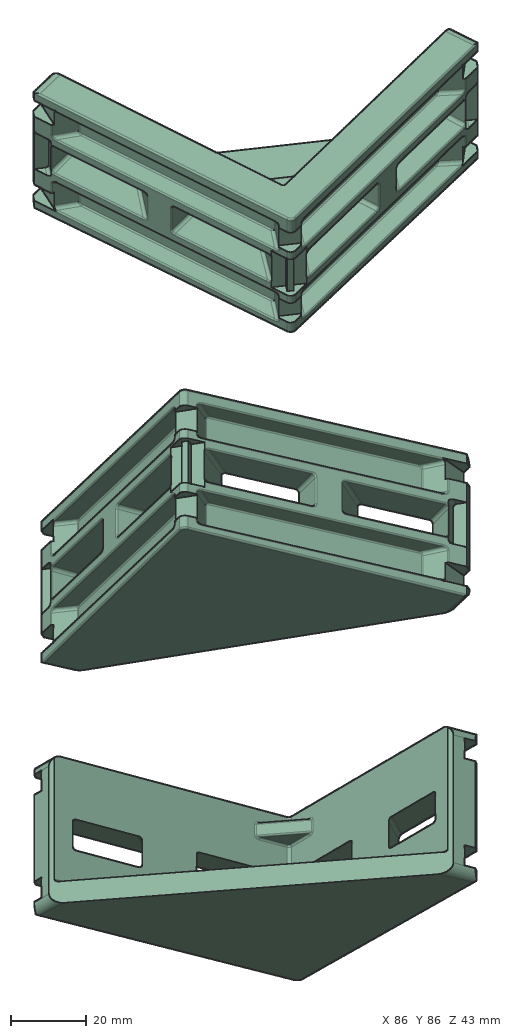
import cadquery as cq
import math

LENGTH = 86.0
HEIGHT = 43.0
MID_HEIGHT = HEIGHT / 2
LEG = 9.6
INNER_CORNER = (LENGTH - LEG, LEG)

END_CHAMFER = 1.55
HYPOTENUSE_START = 8.6
CORNER_RADIUS = 1.7
END_RADIUS = 3.0
EDGE_RADIUS = 0.5

WEB_THICKNESS = 6.3
DRAFT_ANGLE = math.radians(1.0)
POCKET_RADIUS = 0.9

GUSSET_LEG = 10.9
GUSSET_BOTTOM = 34.8
GUSSET_THICKNESS = 4.1
GUSSET_FILLET = 0.6
GUSSET_ROOT = 2.4

GROOVE_SPACING = 26.0
GROOVE_DEPTH = 5.6
GROOVE_MOUTH = (7.1, 81.7)
GROOVE_FLOOR = (12.1, 76.3)
GROOVE_MOUTH_HEIGHT = 10.15
GROOVE_FLOOR_HEIGHT = 9.8
GROOVE_FLOOR_FILLET = 0.4

SLOT_MOUTHS = ((7.0, 38.6), (46.4, 79.5))
SLOT_WINDOWS = ((7.0, 29.15), (46.6, 69.5))
SLOT_MOUTH_HEIGHT = 9.8
SLOT_WINDOW_HEIGHT = 8.95
RECESS_CORNER_RADIUS = 1.0
MOUTH_FILLET = 0.4

END_NOTCH_DEPTH = 5.0
END_NOTCH_ANGLE = math.radians(30.0)
END_NOTCH_HEIGHT = 5.85
END_NOTCH_OFFSET = 15.5
CORNER_NOTCH = 5.25
CORNER_NOTCH_HEIGHT = 7.1
CORNER_V_START = 79.2
V_DEPTH = 2.75
V_HEIGHT = 13.4
CENTRE_CORNER_NOTCH = 3.7


def mirrored(shape):
    """The same shape on the other leg."""
    return shape.mirror((1, 1, 0), (LENGTH, 0, 0))


def cut_both_legs(body, cutter):
    return body.cut(cutter).cut(mirrored(cutter))


def prism(points, mid_height, height):
    """Vertical prism over an XY outline, centred on mid_height."""
    base = cq.Workplane("XY").workplane(offset=mid_height - height / 2)
    return base.polyline(points).close().extrude(height)


def above_web_plane(hypotenuse_height):
    """Block above a plane that starts on the hypotenuse and rises with the draft angle to the corner."""
    sideways = math.sin(DRAFT_ANGLE) / math.sqrt(2)
    plane = cq.Plane(
        origin=(0, HYPOTENUSE_START, hypotenuse_height),
        xDir=(1, 1, 0),
        normal=(-sideways, sideways, math.cos(DRAFT_ANGLE)),
    )
    return cq.Workplane(plane).rect(4 * LENGTH, 4 * LENGTH).extrude(2 * HEIGHT)


def end_envelope():
    """Block that rounds the top and bottom of the X leg's end."""
    block = cq.Workplane("XY").box(LENGTH, LENGTH, HEIGHT, centered=False)
    return block.edges("|Y and <X").fillet(END_RADIUS)


def make_body():
    half = [
        (END_CHAMFER, 0),
        (0, END_CHAMFER),
        (0, HYPOTENUSE_START),
    ]
    other_half = [(LENGTH - y, LENGTH - x) for x, y in reversed(half)]
    outline = half + other_half + [(LENGTH, 0)]
    body = prism(outline, MID_HEIGHT, HEIGHT)
    body = body.edges("|Z and >(1,-1,0)").fillet(CORNER_RADIUS)
    body = body.intersect(above_web_plane(0))
    body = body.faces("<Y").edges("not |Z").fillet(EDGE_RADIUS)
    envelope = end_envelope()
    return body.intersect(envelope).intersect(mirrored(envelope))


def make_pocket():
    x, y = INNER_CORNER
    column = cq.Workplane("XY").box(LENGTH, LENGTH, 2 * HEIGHT, centered=False)
    column = column.translate((x - LENGTH, y, 0))
    pocket = column.intersect(above_web_plane(WEB_THICKNESS))
    pocket = pocket.edges("|Z and >(1,-1,0)").fillet(POCKET_RADIUS)
    return pocket.faces("<Z").edges(">(1,-1,0) or >X or <Y").fillet(POCKET_RADIUS)


def make_gusset():
    x, y = INNER_CORNER
    middle = GUSSET_BOTTOM + GUSSET_THICKNESS / 2
    corners = [
        (x - GUSSET_LEG - GUSSET_ROOT, y - GUSSET_ROOT),
        (x + GUSSET_ROOT, y - GUSSET_ROOT),
        (x + GUSSET_ROOT, y + GUSSET_LEG + GUSSET_ROOT),
    ]
    gusset = prism(corners, middle, GUSSET_THICKNESS)
    return gusset.faces("<(1,-1,0)").edges("not |Z").fillet(EDGE_RADIUS)


def tapered_recess(mouth, inner, mouth_height, inner_height, depth, mid_height):
    """Recess in the Y = 0 face between two rectangles, each given by its X range and height."""
    recess = (
        cq.Workplane("XZ")
        .center(sum(mouth) / 2, mid_height)
        .rect(mouth[1] - mouth[0], mouth_height)
        .workplane(offset=-depth)
        .center((sum(inner) - sum(mouth)) / 2, 0)
        .rect(inner[1] - inner[0], inner_height)
        .loft(ruled=True)
    )
    return recess.edges("not(|X or |Z)").fillet(RECESS_CORNER_RADIUS)


def cut_grooves(body):
    for side in (-1, 1):
        groove = tapered_recess(
            GROOVE_MOUTH,
            GROOVE_FLOOR,
            GROOVE_MOUTH_HEIGHT,
            GROOVE_FLOOR_HEIGHT,
            GROOVE_DEPTH,
            MID_HEIGHT + side * GROOVE_SPACING / 2,
        )
        groove = groove.faces(">Y").edges().fillet(GROOVE_FLOOR_FILLET)
        body = cut_both_legs(body, groove)
    return body


def cut_slots(body):
    for mouth, window in zip(SLOT_MOUTHS, SLOT_WINDOWS):
        slot = tapered_recess(
            mouth, window, SLOT_MOUTH_HEIGHT, SLOT_WINDOW_HEIGHT, LEG, MID_HEIGHT
        )
        body = cut_both_legs(body, slot)
    return body


def round_mouths(body):
    """Round the mouth edges of every groove and slot on both outer faces."""
    for outer_face in ("<Y", ">X"):
        mouths = body.faces(outer_face).val().innerWires()
        edges = [edge for mouth in mouths for edge in mouth.Edges()]
        body = body.newObject(edges).fillet(MOUTH_FILLET)
    return body


def cut_end_notches(body):
    length = END_NOTCH_DEPTH / math.tan(END_NOTCH_ANGLE)
    corners = [(0, 0), (length, 0), (0, END_NOTCH_DEPTH)]
    for side in (-1, 1):
        notch = prism(corners, MID_HEIGHT + side * END_NOTCH_OFFSET, END_NOTCH_HEIGHT)
        body = cut_both_legs(body, notch)
    return body


def corner_notch(size, mid_height, height):
    corners = [(LENGTH - size, 0), (LENGTH, 0), (LENGTH, size)]
    return prism(corners, mid_height, height)


def cut_corner_notches(body):
    for side in (-1, 1):
        middle = MID_HEIGHT + side * GROOVE_SPACING / 2
        body = body.cut(corner_notch(CORNER_NOTCH, middle, CORNER_NOTCH_HEIGHT))
    return body.cut(corner_notch(CENTRE_CORNER_NOTCH, MID_HEIGHT, V_HEIGHT))


def v_groove(start):
    corners = [(start, 0), (start + 2 * V_DEPTH, 0), (start + V_DEPTH, V_DEPTH)]
    return prism(corners, MID_HEIGHT, V_HEIGHT)


def cut_v_grooves(body):
    end_groove = v_groove(END_CHAMFER)
    end_groove = end_groove.faces(">(1,1,0)").edges("#Z").fillet(RECESS_CORNER_RADIUS)
    body = cut_both_legs(body, end_groove)
    return cut_both_legs(body, v_groove(CORNER_V_START))


def round_gusset_roots(body):
    """Fillet the corners between the gusset and the inner faces of the legs."""
    x, y = INNER_CORNER
    margin = GUSSET_FILLET
    low = (x - GUSSET_LEG - margin, y - margin / 2, GUSSET_BOTTOM - margin)
    high = (x + margin / 2, y + GUSSET_LEG + margin, GUSSET_BOTTOM + GUSSET_THICKNESS + margin)
    near_gusset = cq.selectors.BoxSelector(low, high, boundingbox=True)
    roots = body.edges(near_gusset).edges("<Y or >X")
    return roots.fillet(GUSSET_FILLET)


body = make_body().cut(make_pocket()).union(make_gusset())
body = round_gusset_roots(body)
body = cut_grooves(body)
body = cut_slots(body)
body = round_mouths(body)
body = cut_end_notches(body)
body = cut_corner_notches(body)
body = cut_v_grooves(body)
result = body